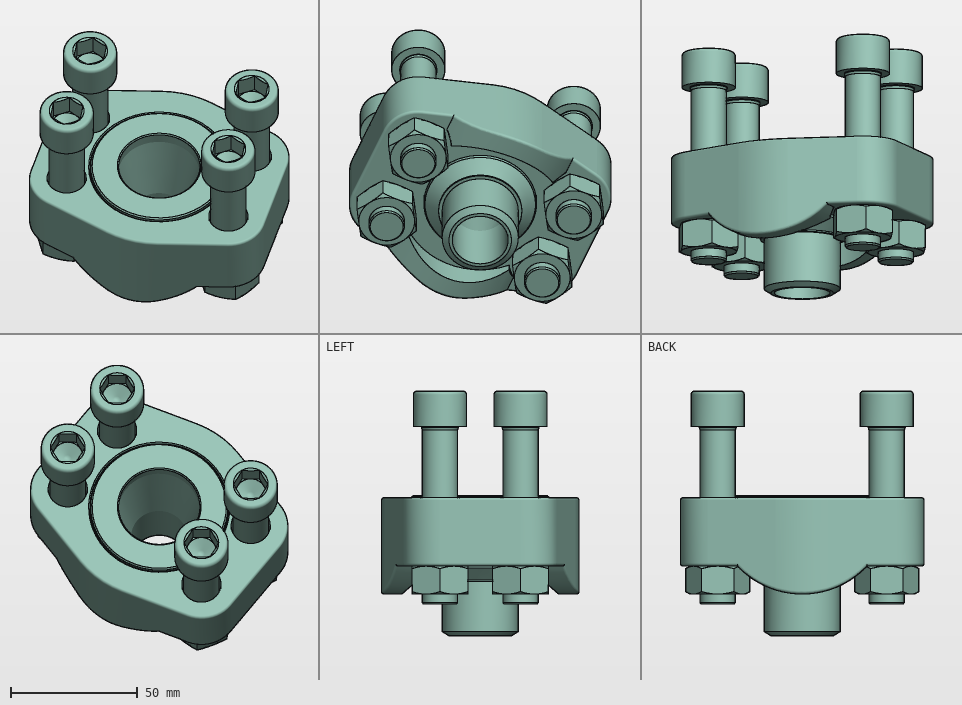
import cadquery as cq
import math

TOTAL_HEIGHT = 96.5
PITCH_X = 66.6
PITCH_Y = 31.75
SCREW_POSITIONS = [(sx * PITCH_X / 2, sy * PITCH_Y / 2) for sx in (-1, 1) for sy in (-1, 1)]

FLANGE_LENGTH = 96.0
FLANGE_WIDTH = 78.0
FLANGE_TOP = 54.5
FLANGE_BOTTOM = 27.5
BULGE_BOTTOM = 16.5
BULGE_RADIUS = 35.0
EDGE_FILLET = 1.1
CLEARANCE_DIAMETER = 61.8
SCREW_HOLE_DIAMETER = 15.4
NUT_POCKET_DIAMETER = 26.1

NECK_TOP = 55.3
COLLAR_DIAMETER = 54.0
COLLAR_CHAMFER = 0.6
COLLAR_SEAT = 43.4
COLLAR_POCKET_DIAMETER = 54.7
BODY_DIAMETER = 43.5
BODY_HOLE_DIAMETER = 44.5
BODY_BOTTOM = 26.7
TAPER_BOTTOM = 22.1
TAPER_END_DIAMETER = 32.8
SHOULDER_BOTTOM = 21.5
PIPE_DIAMETER = 30.0
PIPE_BORE = 22.0
WELD_BEVEL_WIDTH = 2.7
WELD_BEVEL_HEIGHT = 1.7
MOUTH_BORE = 32.0
MOUTH_DEPTH = 5.0
BORE_TAPER_DEPTH = 30.9
RIM_CHAMFER = 0.5

SHANK_DIAMETER = 14.0
HEAD_DIAMETER = 21.0
HEAD_HEIGHT = 14.0
HEAD_FILLET = 1.4
SCREW_LENGTH = 70.0
SCREW_TIP_DIAMETER = 13.0
SCREW_TIP_HEIGHT = 0.7
NECK_COLLAR_DIAMETER = 14.7
NECK_COLLAR_HEIGHT = 0.4
NECK_DIAMETER = 14.2
NECK_TAPER_HEIGHT = 0.7
NECK_STEP_HEIGHT = 0.3
SOCKET_ACROSS_FLATS = 11.8
SOCKET_MOUTH_DIAMETER = 13.7
SOCKET_DEPTH = 8.7
SOCKET_TURN = 37.5
SOCKET_CONE_ANGLE = 59.0
HEAD_BOTTOM = TOTAL_HEIGHT - HEAD_HEIGHT

NUT_ACROSS_FLATS = 22.0
NUT_HEIGHT = FLANGE_BOTTOM - BULGE_BOTTOM
NUT_CHAMFER_ANGLE = 30.0
HEX_CORNER_RATIO = 1 / math.cos(math.radians(30))


def cylinder(diameter, bottom, top):
    return cq.Workplane("XY", origin=(0, 0, bottom)).circle(diameter / 2).extrude(top - bottom)


def revolve_profile(points):
    """Turn a closed (radius, height) outline around the Z axis."""
    return cq.Workplane("XZ").polyline(points).close().revolve(360, (0, 0, 0), (0, 1, 0))


def flange_outline():
    """Centre circle and four corner circles joined by their common tangents."""
    centre_radius = FLANGE_WIDTH / 2
    corner_radius = (FLANGE_LENGTH - PITCH_X) / 2
    cx, cy = PITCH_X / 2, PITCH_Y / 2
    tangent = math.atan2(cy, cx) + math.acos((centre_radius - corner_radius) / math.hypot(cx, cy))

    def on_corner(angle):
        return (cx + corner_radius * math.cos(angle), cy + corner_radius * math.sin(angle))

    xt, yt = centre_radius * math.cos(tangent), centre_radius * math.sin(tangent)
    xc, yc = on_corner(tangent)
    xm, ym = on_corner(tangent / 2)
    half_length = FLANGE_LENGTH / 2
    return (
        cq.Workplane("XY", origin=(0, 0, BULGE_BOTTOM))
        .moveTo(half_length, -cy)
        .lineTo(half_length, cy)
        .threePointArc((xm, ym), (xc, yc))
        .lineTo(xt, yt)
        .threePointArc((0, centre_radius), (-xt, yt))
        .lineTo(-xc, yc)
        .threePointArc((-xm, ym), (-half_length, cy))
        .lineTo(-half_length, -cy)
        .threePointArc((-xm, -ym), (-xc, -yc))
        .lineTo(-xt, -yt)
        .threePointArc((0, -centre_radius), (xt, -yt))
        .lineTo(xc, -yc)
        .threePointArc((xm, -ym), (half_length, -cy))
        .close()
    )


def side_profile():
    """Flange silhouette across X: a flat block with a round bulge below its middle."""
    rise = BULGE_RADIUS - (FLANGE_BOTTOM - BULGE_BOTTOM)
    bulge_half = math.sqrt(BULGE_RADIUS**2 - rise**2)
    half_length = FLANGE_LENGTH / 2
    return (
        cq.Workplane("XZ")
        .moveTo(-half_length, FLANGE_TOP)
        .lineTo(-half_length, FLANGE_BOTTOM)
        .lineTo(-bulge_half, FLANGE_BOTTOM)
        .threePointArc((0, BULGE_BOTTOM), (bulge_half, FLANGE_BOTTOM))
        .lineTo(half_length, FLANGE_BOTTOM)
        .lineTo(half_length, FLANGE_TOP)
        .close()
        .extrude(FLANGE_WIDTH / 2, both=True)
    )


def cylinders_at_screws(diameter, bottom, top):
    return (
        cq.Workplane("XY", origin=(0, 0, bottom))
        .pushPoints(SCREW_POSITIONS)
        .circle(diameter / 2)
        .extrude(top - bottom)
    )


def make_flange():
    body = flange_outline().extrude(FLANGE_TOP - BULGE_BOTTOM).intersect(side_profile())
    body = body.faces(">Z").edges().fillet(EDGE_FILLET)
    below_sides = cq.selectors.BoxSelector(
        (-FLANGE_LENGTH, -FLANGE_WIDTH, BULGE_BOTTOM - EDGE_FILLET),
        (FLANGE_LENGTH, FLANGE_WIDTH, FLANGE_BOTTOM + EDGE_FILLET),
        boundingbox=True,
    )
    body = body.edges(below_sides).edges("not |Y").fillet(EDGE_FILLET)
    screw_holes = cylinders_at_screws(SCREW_HOLE_DIAMETER, FLANGE_BOTTOM, FLANGE_TOP)
    nut_pockets = cylinders_at_screws(NUT_POCKET_DIAMETER, BULGE_BOTTOM, FLANGE_BOTTOM)
    pocket_radius = COLLAR_POCKET_DIAMETER / 2
    body_hole_radius = BODY_HOLE_DIAMETER / 2
    stepped_bore = revolve_profile([
        (0, FLANGE_BOTTOM),
        (body_hole_radius, FLANGE_BOTTOM),
        (body_hole_radius, COLLAR_SEAT),
        (pocket_radius, COLLAR_SEAT),
        (pocket_radius, FLANGE_TOP - RIM_CHAMFER),
        (pocket_radius + RIM_CHAMFER, FLANGE_TOP),
        (0, FLANGE_TOP),
    ])
    clearance = cylinder(CLEARANCE_DIAMETER, BULGE_BOTTOM, FLANGE_BOTTOM)
    return body.cut(clearance).cut(nut_pockets).cut(screw_holes).cut(stepped_bore)


def make_weld_neck():
    collar_radius = COLLAR_DIAMETER / 2
    body_radius = BODY_DIAMETER / 2
    pipe_radius = PIPE_DIAMETER / 2
    bore_radius = PIPE_BORE / 2
    mouth_radius = MOUTH_BORE / 2
    return revolve_profile([
        (bore_radius, 0),
        (pipe_radius - WELD_BEVEL_WIDTH, 0),
        (pipe_radius, WELD_BEVEL_HEIGHT),
        (pipe_radius, SHOULDER_BOTTOM),
        (TAPER_END_DIAMETER / 2, SHOULDER_BOTTOM),
        (TAPER_END_DIAMETER / 2, TAPER_BOTTOM),
        (body_radius, BODY_BOTTOM),
        (body_radius, COLLAR_SEAT),
        (collar_radius, COLLAR_SEAT),
        (collar_radius, NECK_TOP - COLLAR_CHAMFER),
        (collar_radius - COLLAR_CHAMFER, NECK_TOP),
        (mouth_radius + RIM_CHAMFER, NECK_TOP),
        (mouth_radius, NECK_TOP - RIM_CHAMFER),
        (mouth_radius, NECK_TOP - MOUTH_DEPTH),
        (bore_radius, NECK_TOP - BORE_TAPER_DEPTH),
    ])


def hex_prism(across_flats, bottom, top):
    """Hexagon with two corners on the X axis."""
    return (
        cq.Workplane("XY", origin=(0, 0, bottom))
        .polygon(6, across_flats * HEX_CORNER_RATIO)
        .extrude(top - bottom)
    )


def make_socket():
    """Hexagonal recess with a conical floor and a countersunk mouth."""
    floor = TOTAL_HEIGHT - SOCKET_DEPTH
    inscribed_radius = SOCKET_ACROSS_FLATS / 2
    mouth_radius = SOCKET_MOUTH_DIAMETER / 2
    recess = hex_prism(SOCKET_ACROSS_FLATS, floor, TOTAL_HEIGHT)
    recess = recess.rotate((0, 0, 0), (0, 0, 1), SOCKET_TURN)
    tip_depth = inscribed_radius / math.tan(math.radians(SOCKET_CONE_ANGLE))
    floor_cone = revolve_profile([(0, floor), (inscribed_radius, floor), (0, floor - tip_depth)])
    mouth_depth = mouth_radius / math.tan(math.radians(SOCKET_CONE_ANGLE))
    mouth_cone = revolve_profile([
        (0, TOTAL_HEIGHT),
        (mouth_radius, TOTAL_HEIGHT),
        (0, TOTAL_HEIGHT - mouth_depth),
    ])
    return recess.union(floor_cone).union(mouth_cone)


def make_screw(x, y):
    tip = HEAD_BOTTOM - SCREW_LENGTH
    shank_radius = SHANK_DIAMETER / 2
    collar_bottom = HEAD_BOTTOM - NECK_COLLAR_HEIGHT
    neck_bottom = collar_bottom - NECK_TAPER_HEIGHT
    head = cylinder(HEAD_DIAMETER, HEAD_BOTTOM, TOTAL_HEIGHT).faces(">Z").edges().fillet(HEAD_FILLET)
    shank = revolve_profile([
        (0, tip),
        (SCREW_TIP_DIAMETER / 2, tip),
        (shank_radius, tip + SCREW_TIP_HEIGHT),
        (shank_radius, neck_bottom - NECK_STEP_HEIGHT),
        (NECK_DIAMETER / 2, neck_bottom),
        (NECK_COLLAR_DIAMETER / 2, collar_bottom),
        (NECK_COLLAR_DIAMETER / 2, HEAD_BOTTOM),
        (0, HEAD_BOTTOM),
    ])
    return head.union(shank).cut(make_socket()).translate((x, y, 0))


def make_nut(x, y):
    bottom = FLANGE_BOTTOM - NUT_HEIGHT
    face_radius = NUT_ACROSS_FLATS / 2
    corner_radius = face_radius * HEX_CORNER_RATIO
    chamfer_height = (corner_radius - face_radius) * math.tan(math.radians(NUT_CHAMFER_ANGLE))
    chamfered_blank = revolve_profile([
        (0, bottom),
        (face_radius, bottom),
        (corner_radius, bottom + chamfer_height),
        (corner_radius, FLANGE_BOTTOM - chamfer_height),
        (face_radius, FLANGE_BOTTOM),
        (0, FLANGE_BOTTOM),
    ])
    nut = hex_prism(NUT_ACROSS_FLATS, bottom, FLANGE_BOTTOM).intersect(chamfered_blank)
    return nut.cut(cylinder(SHANK_DIAMETER, bottom, FLANGE_BOTTOM)).translate((x, y, 0))


flange = make_flange()
weld_neck = make_weld_neck()
screws = [make_screw(x, y).val() for x, y in SCREW_POSITIONS]
nuts = [make_nut(x, y).val() for x, y in SCREW_POSITIONS]

result = cq.Compound.makeCompound([flange.val(), weld_neck.val(), *screws, *nuts])